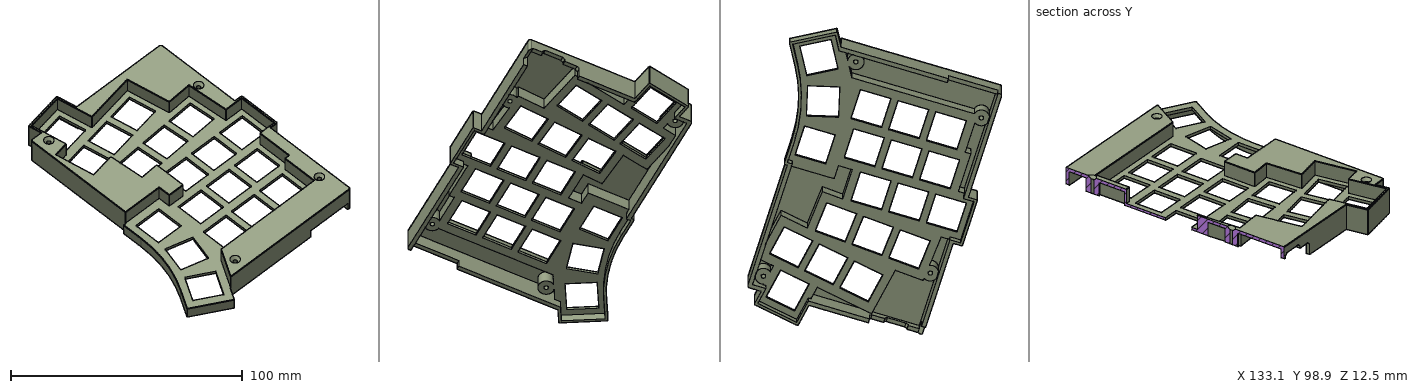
import cadquery as cq
import math

HEIGHT = 12.5
PLATE_TOP = 5.5
PLATE_BOTTOM = 4.0

PROBE_COUNT = 36
PROBE_RADIUS = 0.07
SHARP_SHARE = 0.4

BODY_LENGTH = 116.9
BODY_DEPTH = 79.1
CORNER_RADIUS = 1.0
BODY_WALL = 1.9
CEILING = 1.9
EDGE_CHAMFER = 0.3

PITCH_X = 18.0
PITCH_Y = 17.0
KEY_HOLE = 13.8
CELL_LENGTH = 22.1
CELL_DEPTH = 21.3
CELL_WALL = 1.2
MIDDLE_X = 56.6
KEYS_PER_COLUMN = 3
BRIDGE_SHIFT = 4.0

COLUMNS = [
    (18.8, 30.0, 10),
    (37.1, 45.3, 4),
    (MIDDLE_X, 55.5, 0),
    (MIDDLE_X + PITCH_X, 46.9, 0),
    (MIDDLE_X + 2 * PITCH_X, 44.3, 0),
]
OUTER_KEY = (2.4, 17.6, 10)

THUMB_X = 69.5
THUMB_Y = 9.2
THUMB_RADIUS = 77.2
THUMB_STEP = 15
THUMB_KEYS = 3

SCREWS = [(5.6, 5.6), (28.4, 74.0), (102.6, 74.0), (111.0, 14.6)]
SCREW_DIAMETER = 1.9
SCREW_HEAD_DIAMETER = 4.5
BOSS_DIAMETER = 7.2

OPENING_FRONT = 54.8
OPENING_BACK = BODY_DEPTH - BODY_WALL
OPENING_TOP = 6.4
OPENING_BEVEL = 1.0
CORNER_CUT_TOP = 4.4
CORNER_CUT_LENGTH = 5.3
PORT_FRONT = 61.8
PORT_BACK = 72.3
PORT_TOP = 8.7
PORT_BEVEL = 1.0
CLEARANCE = 1.3


def thumb_point(angle, across, up):
    """Point in the frame of the thumb key turned clockwise by angle degrees."""
    turn = math.radians(angle)
    reach = THUMB_RADIUS + up
    x = THUMB_X + reach * math.sin(turn) + across * math.cos(turn)
    y = THUMB_Y - THUMB_RADIUS + reach * math.cos(turn) - across * math.sin(turn)
    return (x, y)


def column_keys(x, y, tilt):
    turn = math.radians(tilt)
    middle = (KEYS_PER_COLUMN - 1) / 2
    offsets = [(row - middle) * PITCH_Y for row in range(KEYS_PER_COLUMN)]
    return [(x - d * math.sin(turn), y + d * math.cos(turn), tilt) for d in offsets]


def block(key, length, depth, bottom, top):
    """Box centred on a key and turned with it."""
    x, y, tilt = key
    box = cq.Workplane("XY").box(length, depth, top - bottom, centered=(True, True, False))
    return box.rotate((0, 0, 0), (0, 0, 1), tilt).translate((x, y, bottom))


def blocks(keys, length, depth, bottom, top):
    joined = block(keys[0], length, depth, bottom, top)
    for key in keys[1:]:
        joined = joined.union(block(key, length, depth, bottom, top))
    return joined


finger_keys = [key for column in COLUMNS for key in column_keys(*column)] + [OUTER_KEY]

bridges = []
for column_x, column_y, tilt in COLUMNS:
    if tilt:
        turn = math.radians(tilt)
        bridge_x = column_x + BRIDGE_SHIFT * math.cos(turn)
        bridge_y = column_y + BRIDGE_SHIFT * math.sin(turn)
        bridges += column_keys(bridge_x, bridge_y, tilt)[1:]

thumb_keys = []
for index in range(THUMB_KEYS):
    angle = index * THUMB_STEP
    thumb_keys.append((*thumb_point(angle, 0, 0), -angle))


def cells(margin, bottom, top):
    """Space around all finger keys, shrunk by margin on each side."""
    length = CELL_LENGTH - 2 * margin
    depth = CELL_DEPTH - 2 * margin
    return blocks(finger_keys + bridges, length, depth, bottom, top)


def thumb_area(grow, bottom, top):
    """Thumb cluster outline with a concave arc in front, grown or shrunk by an offset."""
    half_length = CELL_LENGTH / 2
    half_depth = CELL_DEPTH / 2
    last_angle = (THUMB_KEYS - 1) * THUMB_STEP
    left = THUMB_X - half_length
    right = COLUMNS[-1][0] + half_length - CELL_WALL
    back = COLUMNS[-2][1] - PITCH_Y - half_depth + CELL_WALL
    far_back = thumb_point(last_angle, half_length, half_depth)
    side_y = far_back[1] + (far_back[0] - right) * math.tan(math.radians(last_angle))
    outline = (
        cq.Workplane("XY")
        .workplane(offset=bottom)
        .moveTo(left, back)
        .lineTo(left, THUMB_Y - half_depth)
        .lineTo(*thumb_point(0, 0, -half_depth))
        .threePointArc(
            thumb_point(last_angle / 2, 0, -half_depth),
            thumb_point(last_angle, 0, -half_depth),
        )
        .lineTo(*thumb_point(last_angle, half_length, -half_depth))
        .lineTo(*far_back)
        .lineTo(right, side_y)
        .lineTo(right, back)
        .close()
    )
    if grow:
        outline = outline.offset2D(grow, "intersection")
    return outline.extrude(top - bottom)


def body_block(inset, top):
    size_x = BODY_LENGTH - 2 * inset
    size_y = BODY_DEPTH - 2 * inset
    box = cq.Workplane("XY").box(size_x, size_y, top, centered=False)
    return box.translate((inset, inset, 0))


def screw_cylinders(diameter, bottom, top):
    return (
        cq.Workplane("XY")
        .workplane(offset=bottom)
        .pushPoints(SCREWS)
        .circle(diameter / 2)
        .extrude(top - bottom)
    )


def side_cut(points, start, end):
    """Prism along X with a (Y, Z) outline."""
    return cq.Workplane("YZ").workplane(offset=start).polyline(points).close().extrude(end - start)


def outward_uprights(part):
    """Sharp upright edges with material on less than half of their surroundings."""
    solid = part.val()
    turns = [2 * math.pi * (step + 0.5) / PROBE_COUNT for step in range(PROBE_COUNT)]
    ring = [cq.Vector(math.cos(turn), math.sin(turn), 0) * PROBE_RADIUS for turn in turns]
    chosen = []
    for edge in part.edges("|Z").vals():
        filled = sum(solid.isInside(edge.Center() + offset) for offset in ring)
        if filled < SHARP_SHARE * PROBE_COUNT:
            chosen.append(edge)
    return chosen


body = body_block(0, HEIGHT).edges("|Z").fillet(CORNER_RADIUS)
outer = body.union(cells(0, 0, HEIGHT)).cut(thumb_area(0, PLATE_TOP, HEIGHT))

outer = outer.cut(cells(CELL_WALL, PLATE_TOP, HEIGHT))

rims = outer.edges(">Z").vals()
outer = outer.newObject(rims + outward_uprights(outer)).chamfer(EDGE_CHAMFER)

thumb = thumb_area(0, 0, PLATE_TOP)
thumb_rim = thumb.edges(">Z").vals()
thumb = thumb.newObject(thumb_rim + outward_uprights(thumb)).chamfer(EDGE_CHAMFER)
outer = outer.union(thumb)

cavity = body_block(BODY_WALL, HEIGHT - CEILING)
cavity = cavity.cut(cells(0, PLATE_BOTTOM, HEIGHT))
cavity = cavity.cut(thumb_area(CELL_WALL, PLATE_BOTTOM, HEIGHT))
cavity = cavity.cut(screw_cylinders(BOSS_DIAMETER, PLATE_BOTTOM, HEIGHT))
part = outer.cut(cavity)
part = part.cut(cells(CELL_WALL, 0, PLATE_BOTTOM))
part = part.cut(thumb_area(-CELL_WALL, 0, PLATE_BOTTOM))

part = part.cut(blocks(finger_keys + thumb_keys, KEY_HOLE, KEY_HOLE, PLATE_BOTTOM, PLATE_TOP))

part = part.cut(screw_cylinders(SCREW_DIAMETER, 0, HEIGHT))
sink_depth = (SCREW_HEAD_DIAMETER - SCREW_DIAMETER) / 2
for x, y in SCREWS:
    sink = cq.Solid.makeCone(SCREW_DIAMETER / 2, SCREW_HEAD_DIAMETER / 2, sink_depth)
    part = part.cut(cq.Workplane(sink.translate(cq.Vector(x, y, HEIGHT - sink_depth))))

opening = [
    (OPENING_FRONT, -CLEARANCE),
    (OPENING_FRONT, OPENING_TOP - OPENING_BEVEL),
    (OPENING_FRONT + OPENING_BEVEL, OPENING_TOP),
    (OPENING_BACK, OPENING_TOP),
    (OPENING_BACK, -CLEARANCE),
]
part = part.cut(side_cut(opening, -CLEARANCE, BODY_WALL))
corner = [
    (OPENING_BACK, -CLEARANCE),
    (OPENING_BACK, OPENING_TOP),
    (BODY_DEPTH, CORNER_CUT_TOP),
    (BODY_DEPTH, -CLEARANCE),
]
part = part.cut(side_cut(corner, 0, CORNER_CUT_LENGTH))

port = [
    (PORT_FRONT, 0),
    (PORT_FRONT, PORT_TOP - PORT_BEVEL),
    (PORT_FRONT + PORT_BEVEL, PORT_TOP),
    (PORT_BACK - PORT_BEVEL, PORT_TOP),
    (PORT_BACK, PORT_TOP - PORT_BEVEL),
    (PORT_BACK, 0),
]
part = part.cut(side_cut(port, -CLEARANCE, BODY_WALL))

gap = [
    (OPENING_FRONT, 0),
    (OPENING_FRONT, PLATE_BOTTOM),
    (OPENING_BACK, PLATE_BOTTOM),
    (OPENING_BACK, 0),
]
part = part.cut(side_cut(gap, BODY_LENGTH - BODY_WALL, BODY_LENGTH))

result = part